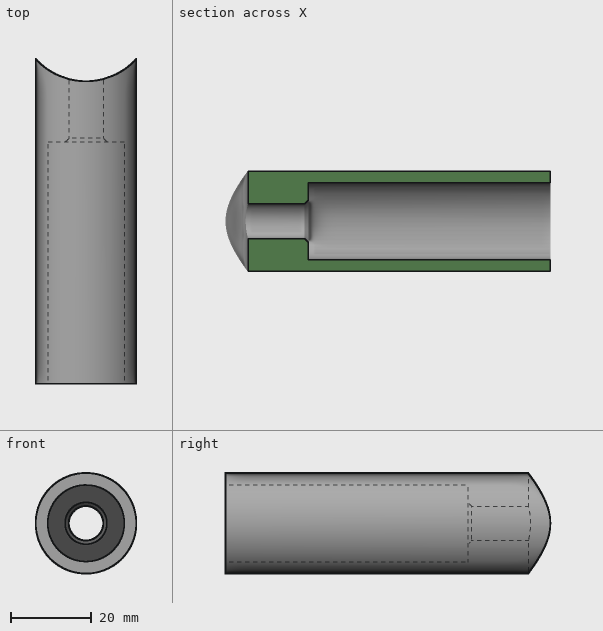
import cadquery as cq
import math

outer_diameter = 25.0
bore_diameter = 19.0
saddle_diameter = 33.7
length_to_saddle = 75.0

wall_thickness = 15.0
hole_diameter = 8.5
chamfer_diameter = 10.4

outer_radius = outer_diameter / 2
saddle_radius = saddle_diameter / 2
saddle_depth = saddle_radius - math.sqrt(saddle_radius**2 - outer_radius**2)
overall_length = length_to_saddle + saddle_depth
bore_depth = length_to_saddle - wall_thickness
chamfer_size = (chamfer_diameter - hole_diameter) / 2


def cylinder_along_y(diameter, start, length):
    """Solid cylinder on the Y axis from y = start to y = start + length."""
    return cq.Workplane("XZ", origin=(0, start, 0)).circle(diameter / 2).extrude(-length)


def saddle_cutter():
    """Vertical cylinder the size of the mating pipe."""
    axis_y = length_to_saddle + saddle_radius
    return (
        cq.Workplane("XY")
        .center(0, axis_y)
        .circle(saddle_radius)
        .extrude(outer_diameter, both=True)
    )


def hole_chamfer():
    """45 degree cone at the mouth of the hole, on the bore floor."""
    cone = cq.Solid.makeCone(
        chamfer_diameter / 2,
        hole_diameter / 2,
        chamfer_size,
        pnt=cq.Vector(0, bore_depth, 0),
        dir=cq.Vector(0, 1, 0),
    )
    return cq.Workplane(obj=cone)


body = cylinder_along_y(outer_diameter, 0, overall_length)
body = body.cut(saddle_cutter())
body = body.cut(cylinder_along_y(bore_diameter, 0, bore_depth))
body = body.cut(cylinder_along_y(hole_diameter, 0, overall_length))
result = body.cut(hole_chamfer())